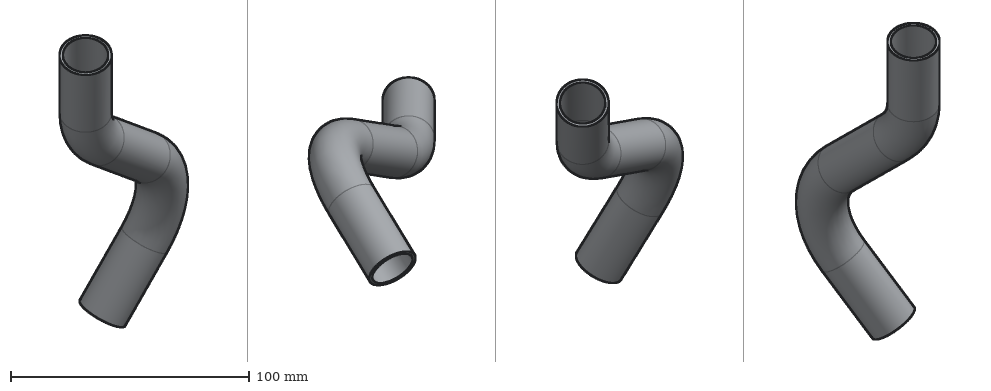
import cadquery as cq
import math

outer_diameter = 22.0
wall_thickness = 1.5
bend_radius = 40.0

end_length = 37.0
middle_length = 43.0
middle_tilt = 39.0
lower_tilt = 42.0

inner_diameter = outer_diameter - 2 * wall_thickness


def along(point, tilt, distance):
    """Point reached by going down the given distance at a tilt towards +Y."""
    angle = math.radians(tilt)
    return (point[0] + distance * math.sin(angle), point[1] - distance * math.cos(angle))


def bend_points(point, start_tilt, end_tilt):
    """Midpoint and far end of a bend that turns from one tilt to another."""
    def chord(turn):
        length = 2 * bend_radius * math.sin(math.radians(abs(turn)) / 2)
        return along(point, start_tilt + turn / 2, length)

    full_turn = end_tilt - start_tilt
    return chord(full_turn / 2), chord(full_turn)


def centreline():
    """Tube centreline from the upper end at the origin down to the lower end."""
    top = (0.0, 0.0)
    upper_bend_start = along(top, 0, end_length)
    upper_bend_middle, upper_bend_end = bend_points(upper_bend_start, 0, middle_tilt)
    lower_bend_start = along(upper_bend_end, middle_tilt, middle_length)
    lower_bend_middle, lower_bend_end = bend_points(lower_bend_start, middle_tilt, -lower_tilt)
    bottom = along(lower_bend_end, -lower_tilt, end_length)
    return (
        cq.Workplane("YZ")
        .moveTo(*top)
        .lineTo(*upper_bend_start)
        .threePointArc(upper_bend_middle, upper_bend_end)
        .lineTo(*lower_bend_start)
        .threePointArc(lower_bend_middle, lower_bend_end)
        .lineTo(*bottom)
    )


def tube():
    """Ring section swept along the centreline."""
    section = cq.Workplane("XY").circle(outer_diameter / 2).circle(inner_diameter / 2)
    return section.sweep(centreline())


result = tube()